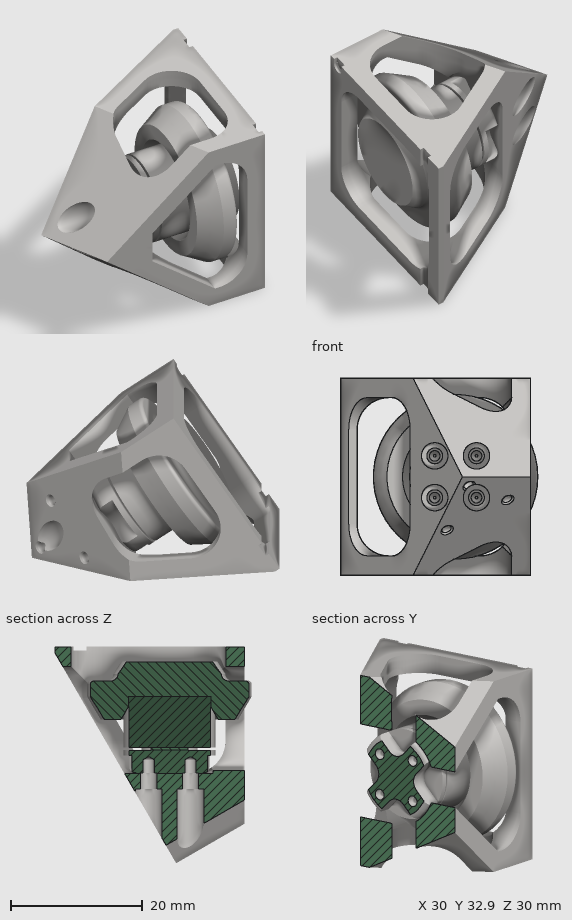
import cadquery as cq
import math

HEIGHT = 30.0
LEFT_X = -17.48
RIGHT_X = 11.4
TIP_DEPTH = 32.9
LEFT_EDGE_DEPTH = 0.85
WEDGE_ANGLE = 30.0
ROOF_ANGLE = 45.0

WALL = 3.0
RIGHT_WALL = 2.85
WINDOW_RADIUS = 4.8
WINDOW_DEPTH = 19.15
BACK_WINDOW_LEFT_X = -14.95
BACK_WINDOW_DEPTH = WALL + WINDOW_RADIUS
SIDE_WINDOW_END_X = 0.0

RELIEF_DIAMETER = 14.6

SCREW_SPACING = 6.35
SCREW_OFFSET = SCREW_SPACING / 2
COUNTERBORE_DIAMETER = 4.0
COUNTERBORE_FLOOR_DEPTH = 21.65
CLEARANCE_DIAMETER = 2.4
TAP_DIAMETER = 1.6
TAP_DEPTH = 2.0
TAP_TIP_DIAMETER = 0.4
TAP_END_ANGLE = 118.0

ROOF_HOLES = [(2.0, 2.0), (2.0, 11.5), (10.0, 5.0)]
ROOF_HOLE_DIAMETER = 1.5
ROOF_COUNTERSINK_DIAMETER = 2.0
ROOF_COUNTERSINK_HALF_ANGLE = 45.0
ROOF_HOLE_DEPTH = 3.0

GROOVE_WIDTH = 2.0
GROOVE_DEPTH = 0.6
GROOVE_END_CHAMFER = 0.23
LEFT_GROOVE_X = -13.6
RIGHT_GROOVE_X = 9.48
RIGHT_GROOVE_LENGTH = 2.0

RING_BACK = 2.25
RING_BACK_DIAMETER = 14.6
BOSS_DIAMETER = 17.0
BOSS_CHAMFER_END = 4.1
FLANGE_BACK = 5.15
RIM_BACK = 5.7
RIM_FRONT = 7.57
RING_FRONT = 11.1
RIM_DIAMETER = 25.0
RING_FRONT_DIAMETER = 20.85
MOUTH_DIAMETER = 16.13
MOUTH_DEPTH = 2.0

HUB_DIAMETER = 14.0
HUB_SEAT = 7.57
HUB_FRONT = 15.35
NECK_DIAMETER = 8.52
MOUNT_BACK = 15.7
MOUNT_DIAMETER = HUB_DIAMETER
NOTCH_BACK = 16.55
NOTCH_HALF_WIDTH = 3.45
NOTCH_ROOT_RADIUS = 1.9
NOTCH_COUNT = 4
MOUNT_EDGE_RADIUS = 1.0

WEDGE = math.radians(WEDGE_ANGLE)
TIP_X = LEFT_X + (TIP_DEPTH - LEFT_EDGE_DEPTH) * math.tan(WEDGE)
RIGHT_CORNER_DEPTH = TIP_DEPTH - (RIGHT_X - TIP_X) * math.tan(WEDGE)
ROOF_LENGTH = HEIGHT / 2 / math.tan(math.radians(ROOF_ANGLE))
WINDOW_HEIGHT = HEIGHT - 2 * WALL
SCREW_PATTERN = [(sx * SCREW_OFFSET, sz * SCREW_OFFSET) for sx in (-1, 1) for sz in (-1, 1)]


def plan_outline(points, height):
    """Prism along Z, centred on z = 0, from (x, y) points."""
    return cq.Workplane("XY").polyline(points).close().extrude(height / 2, both=True)


def rod(diameter, start_depth, end_depth, x=0.0, z=0.0):
    """Cylinder along Y between two depths measured from the back face."""
    length = end_depth - start_depth
    return cq.Workplane("XZ", origin=(x, -start_depth, z)).circle(diameter / 2).extrude(length)


def turned(profile):
    """Solid of revolution about Y from (radius, y) points."""
    return cq.Workplane("XY").polyline(profile).close().revolve(360, (0, 0, 0), (0, 1, 0))


def roof_plane():
    """Plane on the lower roof face: x along the ridge, -y down the face, origin at the tip."""
    along_ridge = cq.Vector(math.cos(WEDGE), math.sin(WEDGE), 0)
    slope = math.radians(ROOF_ANGLE)
    outward = cq.Vector(
        math.sin(WEDGE) * math.sin(slope), -math.cos(WEDGE) * math.sin(slope), -math.cos(slope)
    )
    return cq.Plane(origin=(TIP_X, -TIP_DEPTH, 0), xDir=along_ridge, normal=outward)


def block():
    """Wedge-shaped block whose front is a roof with its ridge at mid height."""
    wedge = plan_outline(
        [
            (LEFT_X, 0),
            (LEFT_X, -LEFT_EDGE_DEPTH),
            (TIP_X, -TIP_DEPTH),
            (RIGHT_X, -RIGHT_CORNER_DEPTH),
            (RIGHT_X, 0),
        ],
        HEIGHT,
    )
    ridge_section = cq.Plane(
        origin=(TIP_X, -TIP_DEPTH, 0),
        xDir=(-math.sin(WEDGE), math.cos(WEDGE), 0),
        normal=(math.cos(WEDGE), math.sin(WEDGE), 0),
    )
    far = 2 * TIP_DEPTH
    roof = (
        cq.Workplane(ridge_section)
        .polyline(
            [
                (0, 0),
                (ROOF_LENGTH, HEIGHT / 2),
                (far, HEIGHT / 2),
                (far, -HEIGHT / 2),
                (ROOF_LENGTH, -HEIGHT / 2),
            ]
        )
        .close()
        .extrude(TIP_DEPTH, both=True)
    )
    return wedge.intersect(roof)


def vertical_window():
    """Rounded window through top and bottom that leaves a wall at the back and at both sides."""

    def slanted_wall_x(depth):
        outer_x = LEFT_X + (depth - LEFT_EDGE_DEPTH) * math.tan(WEDGE)
        return outer_x + WALL / math.cos(WEDGE)

    window = plan_outline(
        [
            (slanted_wall_x(WALL), -WALL),
            (slanted_wall_x(WINDOW_DEPTH), -WINDOW_DEPTH),
            (RIGHT_X - RIGHT_WALL, -WINDOW_DEPTH),
            (RIGHT_X - RIGHT_WALL, -WALL),
        ],
        HEIGHT,
    )
    return window.edges("|Z").fillet(WINDOW_RADIUS)


def slanted_side_window():
    """Rounded window along X, from the slanted side into the vertical window."""
    length = SIDE_WINDOW_END_X - LEFT_X
    return (
        cq.Workplane("XY")
        .box(length, WINDOW_DEPTH - WALL, WINDOW_HEIGHT, centered=(False, False, True))
        .translate((LEFT_X, -WINDOW_DEPTH, 0))
        .edges("|X")
        .fillet(WINDOW_RADIUS)
    )


def right_side_window():
    """Window through the right side, set in from its five-sided outline, with rounded rear corners."""
    depth = RIGHT_WALL + WINDOW_RADIUS
    crease_depth = RIGHT_CORNER_DEPTH - ROOF_LENGTH / math.cos(WEDGE)
    slope = HEIGHT / 2 / (RIGHT_CORNER_DEPTH - crease_depth)
    edge_drop = WALL * math.hypot(1, slope)
    half_height = WINDOW_HEIGHT / 2
    shoulder_depth = crease_depth + (WALL - edge_drop) / slope
    low_half_height = (RIGHT_CORNER_DEPTH - WINDOW_DEPTH) * slope - edge_drop
    return (
        cq.Workplane("YZ", origin=(RIGHT_X - depth, 0, 0))
        .polyline(
            [
                (-WALL, half_height),
                (-shoulder_depth, half_height),
                (-WINDOW_DEPTH, low_half_height),
                (-WINDOW_DEPTH, -low_half_height),
                (-shoulder_depth, -half_height),
                (-WALL, -half_height),
            ]
        )
        .close()
        .extrude(depth)
        .faces(">Y")
        .edges("|X")
        .fillet(WINDOW_RADIUS)
    )


def back_window():
    """Rounded window through the back, deep enough to clear the rear corners of the slanted window."""
    width = RIGHT_X - RIGHT_WALL - BACK_WINDOW_LEFT_X
    return (
        cq.Workplane("XY")
        .box(width, BACK_WINDOW_DEPTH, WINDOW_HEIGHT, centered=(False, False, True))
        .translate((BACK_WINDOW_LEFT_X, -BACK_WINDOW_DEPTH, 0))
        .edges("|Y")
        .fillet(WINDOW_RADIUS)
    )


def roof_hole_cutters():
    """Countersunk blind holes square to the lower roof face."""
    face = cq.Workplane(roof_plane()).pushPoints([(along, -down) for along, down in ROOF_HOLES])
    bores = face.circle(ROOF_HOLE_DIAMETER / 2).extrude(-ROOF_HOLE_DEPTH)
    half_angle = ROOF_COUNTERSINK_HALF_ANGLE
    rim_width = (ROOF_COUNTERSINK_DIAMETER - ROOF_HOLE_DIAMETER) / 2
    countersink_depth = rim_width / math.tan(math.radians(half_angle))
    countersinks = face.circle(ROOF_COUNTERSINK_DIAMETER / 2).extrude(-countersink_depth, taper=half_angle)
    return bores.union(countersinks)


def groove(x, bottom_z):
    """Groove in the back face that runs from bottom_z up to the top."""
    return (
        cq.Workplane("XY")
        .box(GROOVE_WIDTH, GROOVE_DEPTH, HEIGHT / 2 - bottom_z, centered=(True, False, False))
        .translate((x, -GROOVE_DEPTH, bottom_z))
    )


def housing_body():
    """Block with its windows, mount relief, screw holes, roof holes and back grooves."""
    body = block()
    for window in (vertical_window(), slanted_side_window(), right_side_window(), back_window()):
        body = body.cut(window)
    body = body.cut(rod(RELIEF_DIAMETER, MOUNT_BACK, WINDOW_DEPTH))
    for x, z in SCREW_PATTERN:
        body = body.cut(rod(CLEARANCE_DIAMETER, WINDOW_DEPTH, TIP_DEPTH, x, z))
        body = body.cut(rod(COUNTERBORE_DIAMETER, COUNTERBORE_FLOOR_DEPTH, TIP_DEPTH, x, z))
    body = body.cut(roof_hole_cutters())

    body = body.cut(groove(LEFT_GROOVE_X, -HEIGHT / 2))
    round_end_z = HEIGHT / 2 - RIGHT_GROOVE_LENGTH + GROOVE_WIDTH / 2
    round_end = rod(GROOVE_WIDTH, 0, GROOVE_DEPTH, RIGHT_GROOVE_X, round_end_z)
    round_end = round_end.faces("<Y").chamfer(GROOVE_END_CHAMFER)
    return body.cut(groove(RIGHT_GROOVE_X, round_end_z)).cut(round_end)


def ring_body():
    """Bevelled ring with a rear boss and a seat for the hub."""
    boss_radius = BOSS_DIAMETER / 2
    boss_fillet = FLANGE_BACK - BOSS_CHAMFER_END
    rim_fillet = RIM_BACK - FLANGE_BACK
    profile = (
        cq.Workplane("XY")
        .moveTo(0, -RING_BACK)
        .lineTo(RING_BACK_DIAMETER / 2, -RING_BACK)
        .lineTo(boss_radius, -BOSS_CHAMFER_END)
        .radiusArc((boss_radius + boss_fillet, -FLANGE_BACK), -boss_fillet)
        .lineTo(RIM_DIAMETER / 2 - rim_fillet, -FLANGE_BACK)
        .radiusArc((RIM_DIAMETER / 2, -RIM_BACK), rim_fillet)
        .lineTo(RIM_DIAMETER / 2, -RIM_FRONT)
        .lineTo(RING_FRONT_DIAMETER / 2, -RING_FRONT)
        .lineTo(MOUTH_DIAMETER / 2, -RING_FRONT)
        .lineTo(HUB_DIAMETER / 2, -(RING_FRONT - MOUTH_DEPTH))
        .lineTo(HUB_DIAMETER / 2, -HUB_SEAT)
        .lineTo(0, -HUB_SEAT)
        .close()
    )
    return profile.revolve(360, (0, 0, 0), (0, 1, 0))


def notch():
    """V notch with a rounded root that opens toward +X; its walls slope at 45 degrees."""
    rim_x = math.sqrt((MOUNT_DIAMETER / 2) ** 2 - NOTCH_HALF_WIDTH**2)
    tangent_offset = NOTCH_ROOT_RADIUS / math.sqrt(2)
    tangent_x = rim_x - (NOTCH_HALF_WIDTH - tangent_offset)
    root_x = tangent_x + tangent_offset - NOTCH_ROOT_RADIUS
    outer_x = MOUNT_DIAMETER / 2
    outer_half_width = NOTCH_HALF_WIDTH + outer_x - rim_x
    return (
        cq.Workplane("XZ", origin=(0, -NOTCH_BACK, 0))
        .moveTo(outer_x, outer_half_width)
        .lineTo(tangent_x, tangent_offset)
        .threePointArc((root_x, 0), (tangent_x, -tangent_offset))
        .lineTo(outer_x, -outer_half_width)
        .close()
        .extrude(WINDOW_DEPTH - NOTCH_BACK)
    )


def tapped_hole(x, z):
    """Blind hole with a blunt conical end, entering the mount from its front face."""
    radius = TAP_DIAMETER / 2
    floor_y = -(WINDOW_DEPTH - TAP_DEPTH)
    tip_radius = TAP_TIP_DIAMETER / 2
    point_length = (radius - tip_radius) / math.tan(math.radians(TAP_END_ANGLE / 2))
    tip_y = floor_y + point_length
    hole = turned(
        [(0, -WINDOW_DEPTH), (radius, -WINDOW_DEPTH), (radius, floor_y), (tip_radius, tip_y), (0, tip_y)]
    )
    return hole.translate((x, 0, z))


def mount_body():
    """Flange with four lobes that stand on the floor of the housing's windows."""
    body = rod(MOUNT_DIAMETER, MOUNT_BACK, WINDOW_DEPTH).faces("<Y").edges().fillet(MOUNT_EDGE_RADIUS)
    for index in range(NOTCH_COUNT):
        body = body.cut(notch().rotate((0, 0, 0), (0, 1, 0), 360 / NOTCH_COUNT * index))
    for x, z in SCREW_PATTERN:
        body = body.cut(tapped_hole(x, z))
    return body


housing = housing_body()
ring = ring_body()
hub = rod(HUB_DIAMETER, HUB_SEAT, HUB_FRONT)
neck = rod(NECK_DIAMETER, HUB_FRONT, MOUNT_BACK)
mount = mount_body()

bodies = (housing, ring, hub, neck, mount)
result = cq.Compound.makeCompound([body.solids().val() for body in bodies])